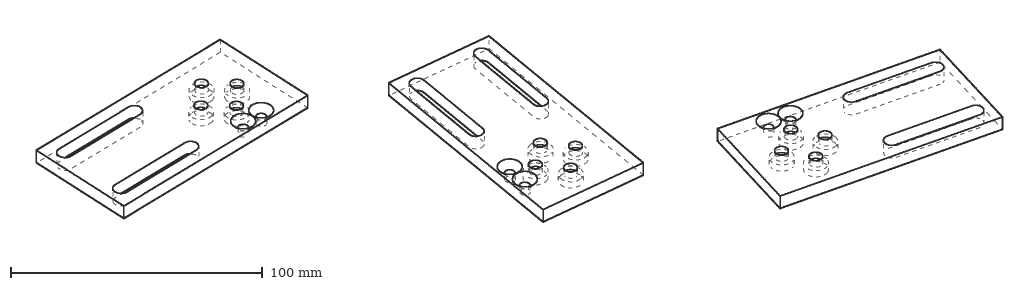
import cadquery as cq

plate_width = 50.0
plate_length = 102.0
plate_thickness = 6.3

pattern_center_y = 26.0
pattern_radius = 10.0
pattern_hole_diameter = 5.5
counterbore_diameter = 10.0
counterbore_depth = plate_thickness / 2

countersink_x = 19.0
countersink_spacing = 10.0
screw_hole_diameter = 4.3
countersink_diameter = 9.9
countersink_angle = 82.0

slot_spacing = 32.0
slot_width = 6.5
slot_length = 45.1
slot_center_y = -24.6

plate = cq.Workplane("XY").box(
    plate_width, plate_length, plate_thickness, centered=(True, True, False)
)


def top_face_points(body, points):
    """Place points on the top face, measured from the plate centre."""
    return body.faces(">Z").workplane(origin=(0, 0, plate_thickness)).pushPoints(points)


pattern_points = [
    (pattern_radius, pattern_center_y),
    (-pattern_radius, pattern_center_y),
    (0, pattern_center_y + pattern_radius),
    (0, pattern_center_y - pattern_radius),
]
plate = top_face_points(plate, pattern_points).hole(pattern_hole_diameter)
counterbores = (
    cq.Workplane("XY")
    .pushPoints(pattern_points)
    .circle(counterbore_diameter / 2)
    .extrude(counterbore_depth)
)
plate = plate.cut(counterbores)

countersink_points = [
    (countersink_x, pattern_center_y + side * countersink_spacing / 2) for side in (-1, 1)
]
plate = top_face_points(plate, countersink_points).cskHole(
    screw_hole_diameter, countersink_diameter, countersink_angle
)

slot_points = [(side * slot_spacing / 2, slot_center_y) for side in (-1, 1)]
plate = top_face_points(plate, slot_points).slot2D(slot_length, slot_width, 90).cutThruAll()

result = plate